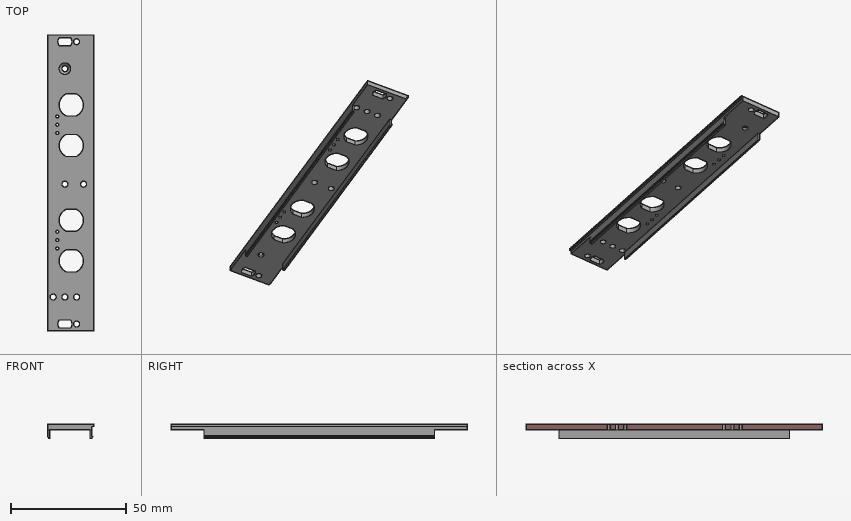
import cadquery as cq

PANEL_WIDTH = 19.98
PANEL_LENGTH = 128.4
PANEL_THICKNESS = 2.5

LIP_WIDTH = 0.8
LIP_THICKNESS = 1.0

TOTAL_HEIGHT = 6.2
LEG_LENGTH = 100.0
LEG_THICKNESS = 0.9
LEG_START_Y = (PANEL_LENGTH - LEG_LENGTH) / 2
LEG_CHAMFER_WIDTH = 0.25
LEG_CHAMFER_HEIGHT = 0.6
LEG_TIP_HEIGHT = 0.2

RIDGE_DEPTH = 0.35
RIDGE_HALF_HEIGHT = 0.4
RIDGE_Z = -5.4

COLUMN_PITCH = 5.08
MOUNT_X = 7.45
MOUNT_EDGE_DISTANCE = 3.0
MOUNT_ROWS = (MOUNT_EDGE_DISTANCE, PANEL_LENGTH - MOUNT_EDGE_DISTANCE)
SLOT_DIAMETER = 6.0
SLOT_FLATS = 3.4

CHANNEL_PITCH = 50.0
FIRST_CHANNEL_Y = 30.4
CHANNEL_ROWS = (FIRST_CHANNEL_Y, FIRST_CHANNEL_Y + CHANNEL_PITCH)
OPENING_X = 10.2
OPENING_PITCH = 17.6
OPENING_DIAMETER = 10.4
OPENING_FLATS = 9.5
INDICATOR_X = 4.15
INDICATOR_OFFSET = 5.4
INDICATOR_PITCH = 3.6
INDICATOR_COUNT = 3
INDICATOR_DIAMETER = 1.2

SMALL_DIAMETER = 2.5
LOWER_ROW_Y = 14.7
MIDDLE_ROW_Y = 63.65
MIDDLE_HOLE_SPACING = 8.1

COUNTERSINK_Y = 113.7
COUNTERSINK_DIAMETER = 5.0
COUNTERSINK_ANGLE = 90.0


def side_profile(points, start_y, length):
    """Extrude an XZ outline along +Y from start_y."""
    return cq.Workplane("XZ", origin=(0, start_y, 0)).polyline(points).close().extrude(-length)


def make_panel():
    rebate_x = PANEL_WIDTH - LIP_WIDTH
    outline = [
        (0, 0),
        (PANEL_WIDTH, 0),
        (PANEL_WIDTH, -LIP_THICKNESS),
        (rebate_x, -LIP_THICKNESS),
        (rebate_x, -PANEL_THICKNESS),
        (0, -PANEL_THICKNESS),
    ]
    return side_profile(outline, 0, PANEL_LENGTH)


def make_chamfered_leg():
    """Leg flush with the -X side, its outer face chamfered down to a thinner tip."""
    chamfer_end_z = LEG_TIP_HEIGHT - TOTAL_HEIGHT
    outline = [
        (0, -LIP_THICKNESS),
        (0, chamfer_end_z + LEG_CHAMFER_HEIGHT),
        (LEG_CHAMFER_WIDTH, chamfer_end_z),
        (LEG_CHAMFER_WIDTH, -TOTAL_HEIGHT),
        (LEG_THICKNESS, -TOTAL_HEIGHT),
        (LEG_THICKNESS, -LIP_THICKNESS),
    ]
    return side_profile(outline, LEG_START_Y, LEG_LENGTH)


def make_ridged_leg():
    """Leg under the inner edge of the lip, with a snap ridge on its outer face."""
    outer_x = PANEL_WIDTH - LIP_WIDTH
    inner_x = outer_x - LEG_THICKNESS
    outline = [
        (inner_x, -LIP_THICKNESS),
        (inner_x, -TOTAL_HEIGHT),
        (outer_x, -TOTAL_HEIGHT),
        (outer_x, RIDGE_Z - RIDGE_HALF_HEIGHT),
        (outer_x + RIDGE_DEPTH, RIDGE_Z),
        (outer_x, RIDGE_Z + RIDGE_HALF_HEIGHT),
        (outer_x, -LIP_THICKNESS),
    ]
    return side_profile(outline, LEG_START_Y, LEG_LENGTH)


def round_cutter(x, y, diameter):
    return cq.Workplane("XY", origin=(x, y, 0)).circle(diameter / 2).extrude(-TOTAL_HEIGHT)


def flatted_cutter(x, y, diameter, flats):
    """Round cutter narrowed in Y to the given distance across flats."""
    band = cq.Workplane("XY", origin=(x, y, 0)).rect(diameter, flats).extrude(-TOTAL_HEIGHT)
    return round_cutter(x, y, diameter).intersect(band)


def cut_mounting_holes(body):
    for y in MOUNT_ROWS:
        body = body.cut(flatted_cutter(MOUNT_X, y, SLOT_DIAMETER, SLOT_FLATS))
        body = body.cut(round_cutter(MOUNT_X + COLUMN_PITCH, y, SMALL_DIAMETER))
    return body


def cut_channel(body, first_y):
    for y in (first_y, first_y + OPENING_PITCH):
        body = body.cut(flatted_cutter(OPENING_X, y, OPENING_DIAMETER, OPENING_FLATS))
    for index in range(INDICATOR_COUNT):
        y = first_y + INDICATOR_OFFSET + index * INDICATOR_PITCH
        body = body.cut(round_cutter(INDICATOR_X, y, INDICATOR_DIAMETER))
    return body


def cut_small_holes(body):
    for column in (-1, 0, 1):
        x = MOUNT_X + column * COLUMN_PITCH
        body = body.cut(round_cutter(x, LOWER_ROW_Y, SMALL_DIAMETER))
    for x in (MOUNT_X, MOUNT_X + MIDDLE_HOLE_SPACING):
        body = body.cut(round_cutter(x, MIDDLE_ROW_Y, SMALL_DIAMETER))
    return body


def cut_countersunk_hole(body):
    workplane = body.copyWorkplane(cq.Workplane("XY", origin=(MOUNT_X, COUNTERSINK_Y, 0)))
    return workplane.pushPoints([(0, 0)]).cskHole(SMALL_DIAMETER, COUNTERSINK_DIAMETER, COUNTERSINK_ANGLE)


result = make_panel().union(make_chamfered_leg()).union(make_ridged_leg())
result = cut_mounting_holes(result)
for channel_y in CHANNEL_ROWS:
    result = cut_channel(result, channel_y)
result = cut_small_holes(result)
result = cut_countersunk_hole(result)